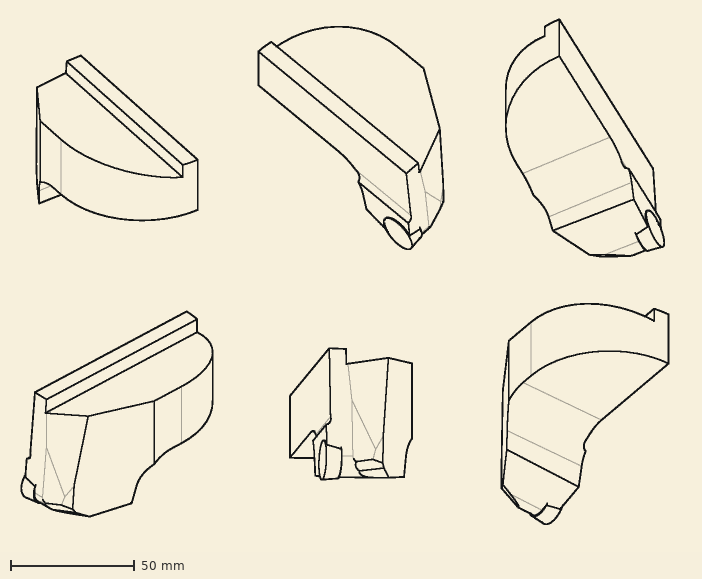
import cadquery as cq
import math


length = 89.4
disc_radius = 40.0
disc_centre_x = length - disc_radius
front_y = -disc_radius
slant_end_x = 34.5
slant_slope = 0.62
far_left_x = -8.9

plate_top_z = 54.4
plate_depth = 7.0
crown_z = 56.8
crown_angle = 15.0
flank_x = 0.6
flank_angle = 5.1
underside_z = 28.5
arch_radius = 16.1
arch_start_x = 44.2
arch_angle = 79.0
arm_tip_x = 26.65
arm_tip_z = 7.15
arm_tip_y = front_y + slant_slope * (slant_end_x - arm_tip_x)
bottom_rise = 0.27
bottom_tilt = -0.0325
corner_radius = 6.6

pad_height = 1.8
relief_radius = 2.8
relief_y = 2.6
relief_z = 24.3

insert_radius = 8.05
insert_thickness = 6.5
insert_back_y = 2.2
insert_relief_angle = 7.0

big = 178.8
inside_point = (35.8, -13.4, 35.8)


def flank_at(z):
    """X of the left flank at height z."""
    return flank_x + z * math.tan(math.radians(flank_angle))


def slant_at(x):
    """Y of the slanted front-left side at x."""
    return front_y + slant_slope * (slant_end_x - x)


def bottom_at(x, y):
    """Z of the tilted arm bottom."""
    return arm_tip_z + bottom_rise * (x - arm_tip_x) + bottom_tilt * (y - arm_tip_y)


def half_space(p1, p2, p3, inside):
    """Large block on the far side of the plane p1-p2-p3 from the point inside."""
    origin = cq.Vector(*p1)
    normal = (cq.Vector(*p2) - origin).cross(cq.Vector(*p3) - origin)
    if normal.dot(cq.Vector(*inside) - origin) > 0:
        normal = normal * -1
    return cq.Workplane(cq.Plane(origin, normal=normal)).rect(2 * big, 2 * big).extrude(big)


def make_side_profile():
    """Outline seen along Y, extruded from the back pad to the front."""
    arch_centre_z = underside_z - arch_radius

    def arch_point(turn):
        angle = math.radians(90 + turn)
        return (arch_start_x + arch_radius * math.cos(angle),
                arch_centre_z + arch_radius * math.sin(angle))

    low_z = -8.9
    arch_end_x, arch_end_z = arch_point(arch_angle)
    tip_slope = (arch_end_x - arm_tip_x) / (arch_end_z - arm_tip_z)
    low_x = arm_tip_x + (low_z - arm_tip_z) * tip_slope
    return (
        cq.Workplane("XZ", origin=(0, pad_height, 0))
        .moveTo(flank_at(low_z), low_z)
        .lineTo(low_x, low_z)
        .lineTo(arch_end_x, arch_end_z)
        .threePointArc(arch_point(arch_angle / 2), (arch_start_x, underside_z))
        .lineTo(length, underside_z)
        .lineTo(length, crown_z)
        .lineTo(flank_at(crown_z), crown_z)
        .close()
        .extrude(pad_height - front_y)
    )


def make_plan():
    """Outline seen along Z: half disc, flat front and slanted side."""
    diagonal = disc_radius * math.sqrt(0.5)
    return (
        cq.Workplane("XY", origin=(0, 0, -big / 2))
        .moveTo(far_left_x, pad_height)
        .lineTo(far_left_x, slant_at(far_left_x))
        .lineTo(slant_end_x, front_y)
        .lineTo(disc_centre_x, front_y)
        .threePointArc((disc_centre_x + diagonal, -diagonal), (length, 0))
        .lineTo(length, pad_height)
        .close()
        .extrude(big)
    )


def cut_bottom(body):
    """Trim the arm to its tilted bottom and round the bottom-left corner."""
    corners = [(0, 0), (big, 0), (0, front_y)]
    points = [(x, y, bottom_at(x, y)) for x, y in corners]
    body = body.cut(half_space(*points, inside_point))
    corner = cq.selectors.BoxSelector((-4.5, -35.8, -4.5), (5.4, 17.9, 7.15))
    return body.edges(corner).fillet(corner_radius)


def make_crown_cutter():
    """Space above the sloping crown and above the plate at the back."""
    step_z = crown_z - (-plate_depth - front_y) * math.tan(math.radians(crown_angle))
    return (
        cq.Workplane("YZ", origin=(-big / 2, 0, 0))
        .moveTo(pad_height, plate_top_z)
        .lineTo(-plate_depth, plate_top_z)
        .lineTo(-plate_depth, step_z)
        .lineTo(front_y, crown_z)
        .lineTo(front_y, big)
        .lineTo(pad_height, big)
        .close()
        .extrude(2 * big)
    )


def cut_back_relief(body):
    """Lower the back to Y = 0 above the pad, with a round transition."""
    groove = (
        cq.Workplane("YZ", origin=(-big / 2, 0, 0))
        .center(relief_y, relief_z)
        .circle(relief_radius)
        .extrude(2 * big)
    )
    clearance = cq.Workplane("XY").box(2 * big, big, big, centered=(True, False, False))
    return body.cut(groove).cut(clearance.translate((0, 0, relief_z)))


def cut_facets(body):
    """Cut the flat facets that bevel the left side and its lower corner."""
    bevel_y = -8.85
    bevel_angle = 15.0
    bevel_depth = 8.9
    bevel_shift = bevel_depth * math.tan(math.radians(bevel_angle))
    left_bevel = [
        (flank_at(0), bevel_y, 0),
        (flank_at(plate_top_z), bevel_y, plate_top_z),
        (flank_at(0) + bevel_shift, bevel_y - bevel_depth, 0),
    ]
    crown_bevel = [
        (flank_at(32.7), bevel_y, 32.7),
        (flank_at(48.1), -7.5, 48.1),
        (11.4, slant_at(11.4), 52.9),
    ]
    low_bevel = [
        (5.9, slant_at(5.9), 7.9),
        (6.35, slant_at(6.35), 18.15),
        (3.8, -17.7, 8.3),
    ]
    corner_side = [(3.8, -17.7, 8.2), (7.0, slant_at(7.0), 5.6), (1.8, -10.9, 6.5)]
    corner_bottom = [(7.0, slant_at(7.0), 5.6), (3.9, -12.7, 3.3), (11.9, slant_at(11.9), 2.9)]
    for facet in (left_bevel, crown_bevel, low_bevel, corner_side, corner_bottom):
        body = body.cut(half_space(*facet, inside_point))
    return body


def make_insert():
    """Round insert with a conical side."""
    return (
        cq.Workplane("XZ", origin=(insert_radius, insert_back_y, insert_radius))
        .circle(insert_radius)
        .extrude(insert_thickness, taper=insert_relief_angle)
    )


def make_holder(insert):
    """Holder with a seat that fits the insert."""
    body = cut_bottom(make_side_profile())
    body = body.intersect(make_plan()).cut(make_crown_cutter())
    body = cut_facets(cut_back_relief(body))
    return body.cut(insert)


insert = make_insert()
holder = make_holder(insert)
result = cq.Compound.makeCompound([holder.val(), insert.val()])